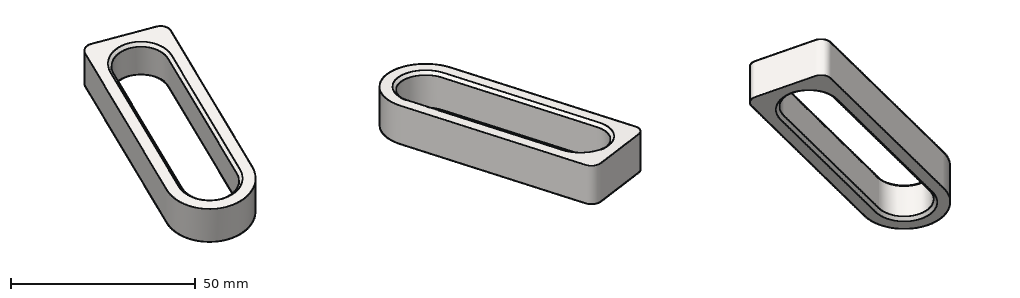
import cadquery as cq

length = 75.0
width = 25.0
height = 12.0
corner_radius = 3.0

wall = 4.5
slot_width = width - 2 * wall
slot_length = length - 2 * wall
rim_chamfer = 1.0

end_radius = width / 2
end_center_x = length / 2 - end_radius


def make_body():
    """Extrude the D-shaped outline and round its two square corners."""
    outline = (
        cq.Workplane("XY")
        .moveTo(-length / 2, -width / 2)
        .lineTo(end_center_x, -width / 2)
        .threePointArc((length / 2, 0), (end_center_x, width / 2))
        .lineTo(-length / 2, width / 2)
        .close()
    )
    return outline.extrude(height).edges("|Z and <X").fillet(corner_radius)


def cut_slot(body):
    """Cut the round-ended slot and chamfer its upper and lower rims."""
    slot = cq.Workplane("XY").slot2D(slot_length, slot_width).extrude(height)
    slotted = body.cut(slot)
    rim_edges = []
    for face in slotted.faces("|Z").vals():
        rim_edges += face.innerWires()[0].Edges()
    return slotted.newObject(rim_edges).chamfer(rim_chamfer)


result = cut_slot(make_body())